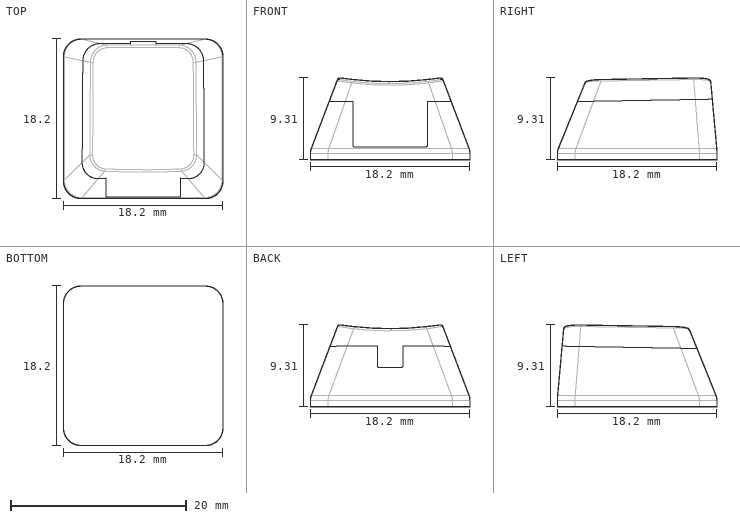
import cadquery as cq
import math

width = 18.16
half_width = width / 2
base_corner_radius = 2.02
blend_bottom = 0.73
blend_top = 1.3

side_slope = 0.38
front_slope = 0.405
back_slope = 0.09
front_corner_shrink = 0.032
back_corner_shrink = 0.01
loft_height = 10.17

tilt_angle = 1.0
dish_radius = 36.86
dish_bottom_height = 8.75
top_edge_radius = 0.29

seam_height = 6.74

tab_thickness = 1.45
tab_overlap = 0.55
tab_corner_radius = 0.18
front_tab_width = 8.46
front_tab_bottom = 1.45
back_tab_width = 2.9
back_tab_bottom = 4.47

block_size = 2 * width


def rounded_outline(height, half_x, front_y, back_y, front_radius, back_radius):
    """Rectangle at a height, with one radius for its front corners and one for its back corners."""
    front_cut = front_radius * (1 - math.sqrt(0.5))
    back_cut = back_radius * (1 - math.sqrt(0.5))
    return (
        cq.Workplane("XY", origin=(0, 0, height))
        .moveTo(-half_x + front_radius, front_y)
        .lineTo(half_x - front_radius, front_y)
        .threePointArc((half_x - front_cut, front_y + front_cut), (half_x, front_y + front_radius))
        .lineTo(half_x, back_y - back_radius)
        .threePointArc((half_x - back_cut, back_y - back_cut), (half_x - back_radius, back_y))
        .lineTo(-half_x + back_radius, back_y)
        .threePointArc((-half_x + back_cut, back_y - back_cut), (-half_x, back_y - back_radius))
        .lineTo(-half_x, front_y + front_radius)
        .threePointArc((-half_x + front_cut, front_y + front_cut), (-half_x + front_radius, front_y))
        .close()
    )


def wall_rise(height):
    """Height of straight sloping wall that gives the inset found at this height."""
    if height < blend_bottom:
        return 0
    if height < blend_top:
        return (height - blend_bottom) ** 2 / (2 * (blend_top - blend_bottom))
    return height - (blend_bottom + blend_top) / 2


def hull_section(height):
    """Wire of the hull at a height: walls move inwards and corner radii shrink in proportion to the rise."""
    rise = wall_rise(height)
    return rounded_outline(
        height,
        half_width - side_slope * rise,
        -half_width + front_slope * rise,
        half_width - back_slope * rise,
        base_corner_radius - front_corner_shrink * rise,
        base_corner_radius - back_corner_shrink * rise,
    ).wires().val()


def sloping_hull():
    """Upright base band, a parabolic blend inwards, and straight sloping walls above it."""
    blend_heights = [blend_bottom, (blend_bottom + blend_top) / 2, blend_top]
    band = cq.Workplane(cq.Solid.extrudeLinear(hull_section(0), [], cq.Vector(0, 0, blend_bottom)))
    blend = cq.Solid.makeLoft([hull_section(height) for height in blend_heights], False)
    walls = cq.Solid.makeLoft([hull_section(blend_top), hull_section(loft_height)], True)
    return band.union(cq.Workplane(blend)).union(cq.Workplane(walls))


def dish_cutter():
    """Large cylinder along Y, tilted, whose lowest line is the bottom of the dish."""
    return (
        cq.Workplane("XZ", origin=(0, width, 0))
        .center(0, dish_radius)
        .circle(dish_radius)
        .extrude(block_size)
        .rotate((0, 0, 0), (1, 0, 0), tilt_angle)
        .translate((0, 0, dish_bottom_height))
    )


def key_shape():
    """Complete outer shape of both bodies together."""
    dished = sloping_hull().cut(dish_cutter())
    rim = dished.faces(cq.NearestToPointSelector((0, 0, dish_bottom_height))).edges()
    return rim.fillet(top_edge_radius)


def space_above_seam():
    """Block whose underside is the seam plane, tilted like the dish."""
    return (
        cq.Workplane("XY")
        .box(block_size, block_size, width, centered=(True, True, False))
        .rotate((0, 0, 0), (1, 0, 0), tilt_angle)
        .translate((0, 0, seam_height))
    )


def tab_space(end, slope, tab_width, bottom):
    """Slab along the wall at the front (end -1) or back (end 1), from the tab's bottom to above the seam."""
    top = seam_height + tab_overlap

    def wall_y(height):
        return end * (half_width - slope * wall_rise(height))

    inward = -end * tab_thickness
    outward = end * tab_thickness
    slab = (
        cq.Workplane("YZ", origin=(-tab_width / 2, 0, 0))
        .moveTo(wall_y(bottom) + outward, bottom)
        .lineTo(wall_y(bottom) + inward, bottom)
        .lineTo(wall_y(top) + inward, top)
        .lineTo(wall_y(top) + outward, top)
        .close()
        .extrude(tab_width)
    )
    return slab.faces("<Z").edges("|Y").fillet(tab_corner_radius)


def cap_space():
    """All the space that the cap may fill; the skirt fills the rest of the key."""
    front_tab = tab_space(-1, front_slope, front_tab_width, front_tab_bottom)
    back_tab = tab_space(1, back_slope, back_tab_width, back_tab_bottom)
    return space_above_seam().union(front_tab).union(back_tab)


def make_cap():
    """Dished top of the key with its front and back tabs."""
    return key_shape().intersect(cap_space())


def make_skirt():
    """Lower part of the key, recessed for the two tabs."""
    return key_shape().cut(cap_space())


cap = make_cap().solids()
skirt = make_skirt().solids()
result = cq.Compound.makeCompound([cap.val(), skirt.val()])